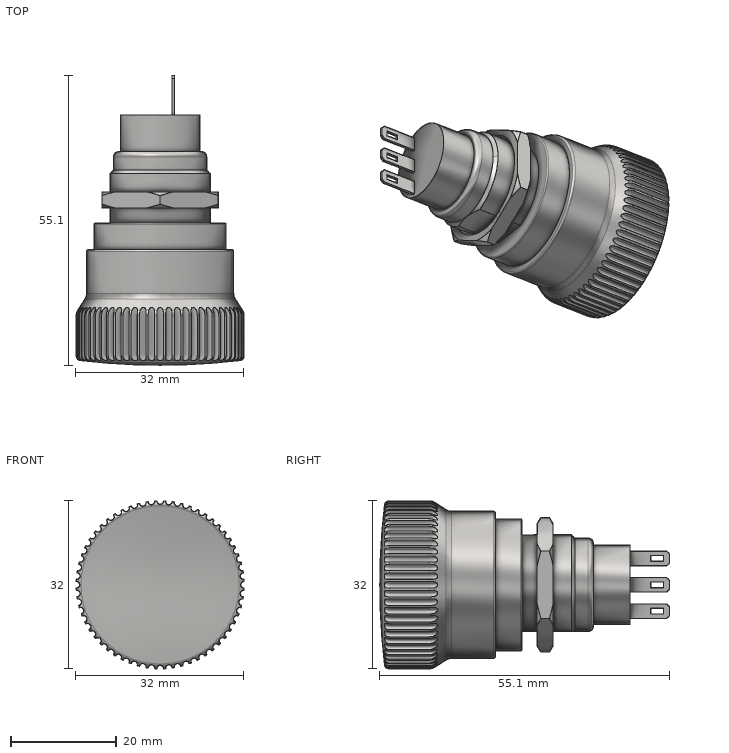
import cadquery as cq
import math


KNOB_RADIUS = 16.0
KNOB_APEX_Y = -27.0
DOME_HEIGHT = 0.9
KNOB_EDGE_FILLET = 0.95
CONE_FRONT_Y = -17.0
CONE_REAR_Y = -13.95
CONE_FILLET = 2.0
SKIRT_RADIUS = 14.0
SKIRT_FILLET = 0.4

GROOVE_COUNT = 60
GROOVE_RADIUS = 0.6
GROOVE_DEPTH = 0.65

BEZEL_RADIUS = 12.55
BEZEL_LENGTH = 5.0
BEZEL_FILLET = 0.2
THREAD_RADIUS = 9.55
THREAD_END_Y = 10.1
COLLAR_RADIUS = 8.85
COLLAR_END_Y = 13.6
COLLAR_FILLET = 1.0
BASE_RADIUS = 7.55
BASE_END_Y = 20.6

NUT_FRONT_Y = 2.9
NUT_THICKNESS = 3.05
NUT_ACROSS_FLATS = 22.15
NUT_FACE_RADIUS = 11.6
NUT_CHAMFER_LENGTH = 0.7
NUT_COUNTERSINK = 0.5

TERMINAL_COUNT = 3
TERMINAL_PITCH = 5.0
TERMINAL_X = 2.5
TERMINAL_LENGTH = 7.5
TERMINAL_WIDTH = 2.8
TERMINAL_THICKNESS = 0.5
TERMINAL_CHAMFER = 0.55
EYELET_LENGTH = 2.35
EYELET_WIDTH = 1.05
EYELET_END_MARGIN = 1.2

TOLERANCE = 0.005


def cylinder_along_y(radius, start_y, end_y):
    """Solid cylinder on the Y axis between two Y positions."""
    plane = cq.Plane(origin=(0, start_y, 0), xDir=(1, 0, 0), normal=(0, 1, 0))
    return cq.Workplane(plane).circle(radius).extrude(end_y - start_y)


def fillet_rim(body, radius, y, fillet):
    """Round the circular edge of the given radius at the given Y position."""
    rim = body.edges("%CIRCLE").filter(
        lambda edge: abs(edge.radius() - radius) < TOLERANCE and abs(edge.Center().y - y) < TOLERANCE
    )
    return rim.fillet(fillet)


def make_turned_body():
    """Knob and stepped housing as one revolved shape."""
    dome_edge_y = KNOB_APEX_Y + DOME_HEIGHT
    dome_edge_radius = KNOB_RADIUS - KNOB_EDGE_FILLET
    dome_sphere_radius = (dome_edge_radius**2 + DOME_HEIGHT**2) / (2 * DOME_HEIGHT)
    dome_middle_radius = dome_edge_radius / 2
    dome_middle_y = KNOB_APEX_Y + dome_sphere_radius - math.sqrt(dome_sphere_radius**2 - dome_middle_radius**2)
    fillet_middle_offset = KNOB_EDGE_FILLET * (1 - math.sqrt(0.5))
    thread_chamfer = THREAD_RADIUS - COLLAR_RADIUS

    profile = (
        cq.Workplane("XY")
        .moveTo(0, KNOB_APEX_Y)
        .threePointArc((-dome_middle_radius, dome_middle_y), (-dome_edge_radius, dome_edge_y))
        .threePointArc(
            (-KNOB_RADIUS + fillet_middle_offset, dome_edge_y + fillet_middle_offset),
            (-KNOB_RADIUS, dome_edge_y + KNOB_EDGE_FILLET),
        )
        .lineTo(-KNOB_RADIUS, CONE_FRONT_Y)
        .lineTo(-SKIRT_RADIUS, CONE_REAR_Y)
        .lineTo(-SKIRT_RADIUS, -BEZEL_LENGTH)
        .lineTo(-BEZEL_RADIUS, -BEZEL_LENGTH)
        .lineTo(-BEZEL_RADIUS, 0)
        .lineTo(-THREAD_RADIUS, 0)
        .lineTo(-THREAD_RADIUS, THREAD_END_Y - thread_chamfer)
        .lineTo(-COLLAR_RADIUS, THREAD_END_Y)
        .lineTo(-COLLAR_RADIUS, COLLAR_END_Y)
        .lineTo(-BASE_RADIUS, COLLAR_END_Y)
        .lineTo(-BASE_RADIUS, BASE_END_Y)
        .lineTo(0, BASE_END_Y)
        .close()
    )
    body = profile.revolve(360, (0, 0), (0, 1))

    body = fillet_rim(body, KNOB_RADIUS, CONE_FRONT_Y, CONE_FILLET)
    body = fillet_rim(body, SKIRT_RADIUS, CONE_REAR_Y, CONE_FILLET)
    body = fillet_rim(body, SKIRT_RADIUS, -BEZEL_LENGTH, SKIRT_FILLET)
    body = fillet_rim(body, BEZEL_RADIUS, 0, BEZEL_FILLET)
    return fillet_rim(body, COLLAR_RADIUS, COLLAR_END_Y, COLLAR_FILLET)


def make_thread_flat_cutter():
    """Block that flattens the underside of the thread level with the collar."""
    return cq.Workplane("XY").box(
        2 * THREAD_RADIUS, THREAD_END_Y, THREAD_RADIUS, centered=(True, False, False)
    ).translate((0, 0, -COLLAR_RADIUS - THREAD_RADIUS))


def make_groove_cutters():
    """Ring of round cutters at the knob surface that run out on the cone behind it."""
    groove_axis_z = KNOB_RADIUS - GROOVE_DEPTH + GROOVE_RADIUS
    cutter = cylinder_along_y(GROOVE_RADIUS, KNOB_APEX_Y, CONE_REAR_Y).translate((0, 0, groove_axis_z))
    step = 360 / GROOVE_COUNT
    cutters = [cutter.rotate((0, 0, 0), (0, 1, 0), step * index).val() for index in range(GROOVE_COUNT)]
    return cq.Compound.makeCompound(cutters)


def make_housing():
    """Knob and housing with the grip grooves and the thread flat cut in."""
    return make_turned_body().cut(make_thread_flat_cutter()).cut(cq.Workplane(make_groove_cutters()))


def make_nut():
    """Hexagonal nut with corners at +Z and -Z, chamfered and countersunk on both faces."""
    corner_radius = NUT_ACROSS_FLATS / math.sqrt(3)
    rear_y = NUT_FRONT_Y + NUT_THICKNESS
    corner_angles = [math.radians(30 + 60 * index) for index in range(6)]
    corners = [(corner_radius * math.cos(a), corner_radius * math.sin(a)) for a in corner_angles]
    plane = cq.Plane(origin=(0, NUT_FRONT_Y, 0), xDir=(1, 0, 0), normal=(0, 1, 0))
    hexagon = cq.Workplane(plane).polyline(corners).close().extrude(NUT_THICKNESS)

    chamfer_envelope = (
        cq.Workplane("XY")
        .moveTo(0, NUT_FRONT_Y)
        .lineTo(-NUT_FACE_RADIUS, NUT_FRONT_Y)
        .lineTo(-corner_radius, NUT_FRONT_Y + NUT_CHAMFER_LENGTH)
        .lineTo(-corner_radius, rear_y - NUT_CHAMFER_LENGTH)
        .lineTo(-NUT_FACE_RADIUS, rear_y)
        .lineTo(0, rear_y)
        .close()
        .revolve(360, (0, 0), (0, 1))
    )
    bore = cylinder_along_y(THREAD_RADIUS, NUT_FRONT_Y, rear_y)
    nut_body = hexagon.intersect(chamfer_envelope).cut(bore)
    bore_rims = nut_body.edges("%CIRCLE").filter(lambda edge: abs(edge.radius() - THREAD_RADIUS) < TOLERANCE)
    return bore_rims.chamfer(NUT_COUNTERSINK)


def make_terminal(z):
    """Flat solder terminal with an eyelet, standing on the rear face of the base at height z."""
    tip_y = BASE_END_Y + TERMINAL_LENGTH
    eyelet_y = tip_y - EYELET_END_MARGIN - EYELET_LENGTH / 2
    blade = (
        cq.Workplane("XY")
        .box(TERMINAL_THICKNESS, TERMINAL_LENGTH, TERMINAL_WIDTH, centered=(True, False, True))
        .edges("|X and >Y")
        .chamfer(TERMINAL_CHAMFER)
        .translate((TERMINAL_X, BASE_END_Y, z))
    )
    eyelet = cq.Workplane("XY").box(TERMINAL_THICKNESS, EYELET_LENGTH, EYELET_WIDTH)
    return blade.cut(eyelet.translate((TERMINAL_X, eyelet_y, z)))


housing = make_housing()
nut = make_nut()
terminals = [
    make_terminal((index - (TERMINAL_COUNT - 1) / 2) * TERMINAL_PITCH) for index in range(TERMINAL_COUNT)
]

result = cq.Compound.makeCompound(
    [housing.val(), nut.val(), *[terminal.val() for terminal in terminals]]
)